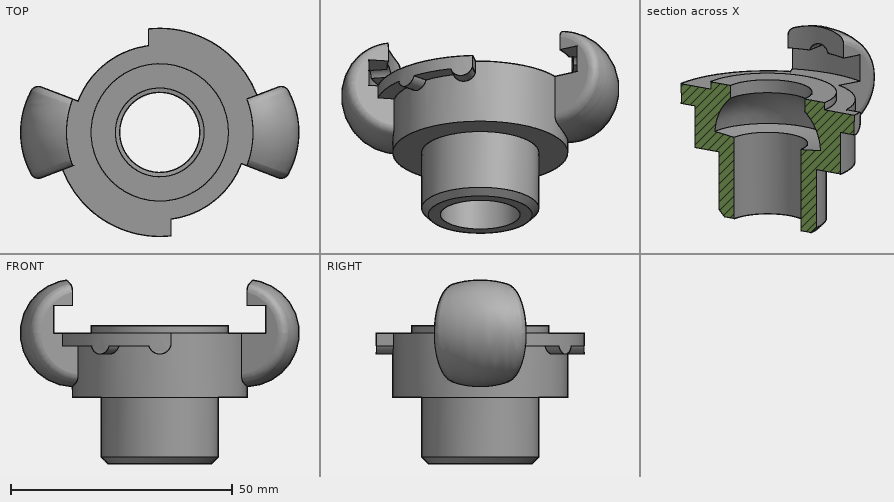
import cadquery as cq
import math

spigot_diameter = 26.45
spigot_chamfer = 1.5
body_diameter = 39.5
body_bottom = 15.0
body_top = 29.5
seat_diameter = 31.0
seat_top = 31.2

bore_diameter = 18.0
mouth_diameter = 20.0
cavity_floor_diameter = 28.5
cavity_middle_diameter = 26.45
cavity_floor_outer = 19.7
cavity_floor_inner = 19.15
cavity_ceiling = 28.15

lip_radius = 23.5
lip_bottom = 26.6
bump_radius = 2.6
bump_centre_height = 27.3
bump_inner_radius = 17.65
bump_angles = (-90, -125)

claw_reach = 31.5
claw_half_angle = 21
claw_round_radius = 12.1
claw_barrel_radius = 19.2
claw_edge_fillet = 1.9
hook_inner_radius = 21.05
slot_outer_radius = 25.55
slot_top = 35.65

claw_axis_x = claw_reach - claw_round_radius
barrel_half_width = 12.6
claw_root_radius = 15.75
wedge_length = 2 * claw_reach


def cylinder(radius, bottom, top):
    return cq.Workplane("XY").workplane(offset=bottom).circle(radius).extrude(top - bottom)


def radial_rod(radius, angle, height, inner, outer):
    """Round bar lying along the radial direction at the given angle."""
    bar = cq.Workplane("YZ", origin=(inner, 0, height)).circle(radius).extrude(outer - inner)
    return bar.rotate((0, 0, 0), (0, 0, 1), angle)


def half_turn_pair(shape):
    return shape.union(shape.rotate((0, 0, 0), (0, 0, 1), 180))


def make_body():
    spigot = cylinder(spigot_diameter / 2, 0, body_bottom).faces("<Z").chamfer(spigot_chamfer)
    collar = cylinder(body_diameter / 2, body_bottom, body_top)
    seat = cylinder(seat_diameter / 2, body_top, seat_top)
    return spigot.union(collar).union(seat)


def make_bore():
    floor_radius = cavity_floor_diameter / 2
    middle_height = (cavity_floor_outer + cavity_ceiling) / 2
    return (
        cq.Workplane("XZ")
        .moveTo(0, 0)
        .lineTo(bore_diameter / 2, 0)
        .lineTo(bore_diameter / 2, cavity_floor_inner)
        .lineTo(floor_radius, cavity_floor_outer)
        .threePointArc((cavity_middle_diameter / 2, middle_height), (mouth_diameter / 2, cavity_ceiling))
        .lineTo(mouth_diameter / 2, seat_top)
        .lineTo(0, seat_top)
        .close()
        .revolve(360, (0, 0, 0), (0, 1, 0))
    )


def make_lip():
    """Lip on the -Y side, from the -X claw to the end face tangent to its last bump."""
    claw_angle = math.radians(180 + claw_half_angle)
    claw_side_end = (claw_reach * math.cos(claw_angle), claw_reach * math.sin(claw_angle))
    outer_corner = (-claw_reach, -claw_reach)
    lip = (
        cq.Workplane("XY", origin=(0, 0, lip_bottom))
        .polyline([(0, 0), claw_side_end, outer_corner, (bump_radius, -claw_reach), (bump_radius, 0)])
        .close()
        .extrude(body_top - lip_bottom)
    )
    for angle in bump_angles:
        lip = lip.union(radial_rod(bump_radius, angle, bump_centre_height, bump_inner_radius, claw_reach))
    return lip.intersect(cylinder(lip_radius, 0, body_top))


def make_claw():
    """Claw on the +X side."""
    half_width = barrel_half_width
    barrel_drop = claw_barrel_radius - math.sqrt(claw_barrel_radius**2 - half_width**2)
    side_radius = claw_round_radius - barrel_drop
    barrel = (
        cq.Workplane("XY", origin=(claw_axis_x, 0, body_top))
        .moveTo(0, -half_width)
        .lineTo(side_radius, -half_width)
        .threePointArc((claw_round_radius, 0), (side_radius, half_width))
        .lineTo(0, half_width)
        .close()
        .revolve(360, (0, 0, 0), (0, 1, 0))
    )
    wedge_half_width = wedge_length * math.tan(math.radians(claw_half_angle))
    wedge = (
        cq.Workplane("XY")
        .polyline([(0, 0), (wedge_length, -wedge_half_width), (wedge_length, wedge_half_width)])
        .close()
        .extrude(wedge_length)
    )
    claw = barrel.intersect(wedge).edges().fillet(claw_edge_fillet)
    claw = claw.cut(cylinder(hook_inner_radius, body_top, wedge_length))
    claw = claw.cut(cylinder(slot_outer_radius, body_top, slot_top))
    claw = claw.cut(cylinder(claw_root_radius, 0, body_top))

    notch_height = slot_top - (bump_centre_height - lip_bottom)
    notch = radial_rod(bump_radius, 0, notch_height, claw_root_radius, slot_outer_radius)
    notch = notch.intersect(cylinder(slot_outer_radius, body_top, wedge_length))
    return claw.cut(notch)


body = make_body().union(half_turn_pair(make_lip())).union(half_turn_pair(make_claw()))
result = body.cut(make_bore())